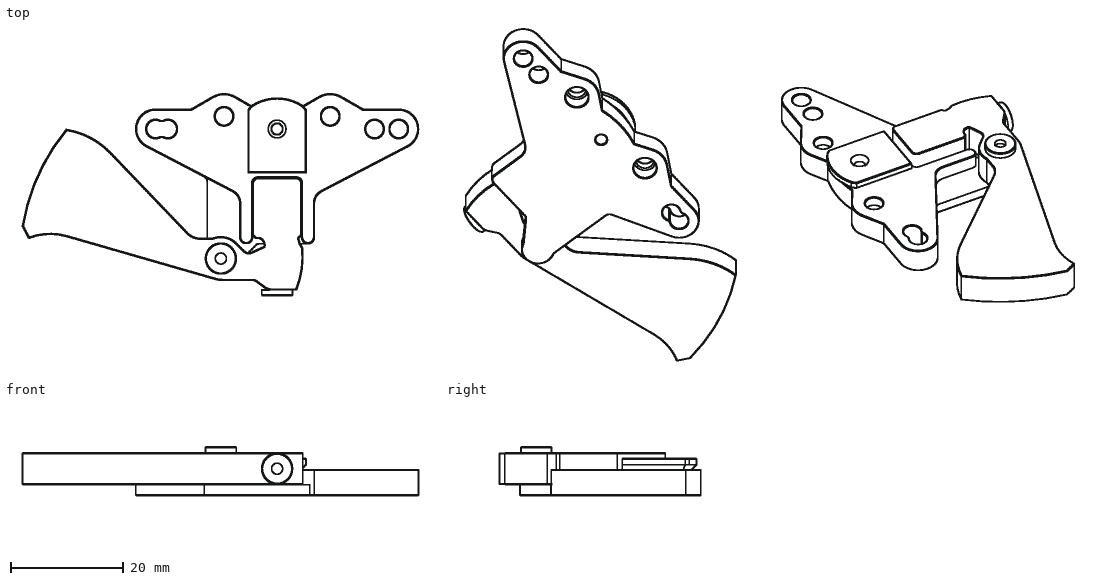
import cadquery as cq
import math

PLATE_TOP = 2.0
WING_TOP = 4.65
PAD_TOP = 6.65
LEVER_TOP = 7.6
HEAD_HEIGHT = 1.05
EDGE_BREAK = 0.15

MOUNT_HOLE_D = 3.2
COUNTERBORE_D = 4.0
COUNTERBORE_DEPTH = 2.8
BRIDGE_WIDTH = 2.7
WING_END_X = 21.7
WING_END_R = 3.5
WING_SLOPE = math.radians(27.5)
OUTER_HOLE_X = WING_END_X
RIGHT_INNER_HOLE_X = 17.4
LEFT_INNER_HOLE_X = -19.5
LUG_X = 9.5
LUG_Y = 2.25
LUG_R = 4.0
LUG_SLOPE = math.radians(30)
REAR_X = 4.45
REAR_MID_Y = 4.6
LEG_X = 6.65
LEG_END_Y = -20.4
LEG_ROOT_FILLET = 2.5
LEG_TIP_R = 1.05
CHANNEL_HALF_WIDTH = 4.4
CHANNEL_REAR_Y = -8.7
CHANNEL_CORNER_R = 1.0

PAD_HALF_WIDTH = 5.15
PAD_FRONT_Y = -7.8
PAD_SIDE_END_Y = 3.45
PAD_CORNER_X = 4.5
PAD_CORNER_Y = 4.2
PAD_REAR_Y = 5.5
PAD_UNDERCUT = 0.85
PAD_HOLE_D = 2.0
PAD_CONE_DEPTH = 1.05

PLATE_LEFT_X = -12.5
PLATE_RIGHT_X = 5.8
PLATE_REAR_Y = -5.65
PLATE_FRONT_Y = -20.5
PLATE_BEVEL_X = -3.5
BEVEL_END_X = -7.8
PLATE_FILLET = 0.9
PLATE_HUB_FILLET = 1.4

PIVOT_X = -10.0
PIVOT_Y = -23.1
PLATE_HUB_R = 5.9 / 2
LEVER_HUB_R = 3.9
HEAD_D = 5.5
SOCKET_D = 2.0
SOCKET_DEPTH = 0.85
LEVER_FRONT_Y = -28.7
ARM_REAR_Y = -19.5
ARM_TIP = (-37.6, -0.1)
ARM_SHOULDER = (-29.7, -4.25)
ARM_REAR_CORNER = (-15.05, ARM_REAR_Y)
VALLEY = (-5.3, -22.3)
RELIEF_Y = -19.5
RELIEF_X = 3.8
LEFT_RELIEF_FOOT = (-2.3, -21.0)
LEFT_RELIEF_MID = (-2.5, -20.1)
LEFT_RELIEF_TOP_X = -3.25
RIGHT_RELIEF_FOOT = (4.1, -20.5)
FRONT_END_TOP = (4.5, -21.1)
FRONT_END_MID = (4.4, -25.45)
BLOCK_END_Y = -18.95
FRONT_STEP = (-4.0, -27.0)
FRONT_STEP_FOOT = (-1.7, LEVER_FRONT_Y)
ARM_FRONT_CORNER = (-10.4, -27.0)
ARM_HOLLOW_START = (-37.65, -19.15)
ARM_HOLLOW_MID = (-41.1, -18.8)
ARM_END_MID = (-42.7, -8.2)
ARM_END_CORNER = (-45.4, -17.3)
ARM_END_FOOT = (-44.3, -19.5)
FRONT_CORNER = (3.45, LEVER_FRONT_Y)
SMALL_CORNER_R = 0.2
ARM_FILLETS = [
    (ARM_REAR_CORNER, 3.2),
    (VALLEY, 1.1),
    ((-CHANNEL_HALF_WIDTH, CHANNEL_REAR_Y), CHANNEL_CORNER_R),
    ((CHANNEL_HALF_WIDTH, CHANNEL_REAR_Y), CHANNEL_CORNER_R),
    (FRONT_STEP, 1.4),
    (FRONT_STEP_FOOT, 1.8),
    (ARM_FRONT_CORNER, 4.6),
    (ARM_END_CORNER, SMALL_CORNER_R),
    (ARM_END_FOOT, SMALL_CORNER_R),
    (FRONT_CORNER, SMALL_CORNER_R),
]


def prism(outline, bottom, top):
    """Extrude a closed outline between two heights."""
    return outline.close().extrude(top - bottom).translate((0, 0, bottom))


def on_circle(x, y, radius, angle):
    return (x + radius * math.cos(angle), y + radius * math.sin(angle))


def half_wings():
    """Right half of the bracket: lug, wing and leg, before the channel is cut."""
    up = math.pi / 2
    wing_low = on_circle(WING_END_X, 0, WING_END_R, WING_SLOPE - up)
    leg_root = (LEG_X, wing_low[1] - (wing_low[0] - LEG_X) * math.tan(WING_SLOPE))
    lug_inner = on_circle(LUG_X, LUG_Y, LUG_R, up + LUG_SLOPE)
    lug_outer = on_circle(LUG_X, LUG_Y, LUG_R, up - LUG_SLOPE)
    lug_foot_x = lug_outer[0] + (lug_outer[1] - WING_END_R) / math.tan(LUG_SLOPE)
    rear_y = lug_inner[1] - (lug_inner[0] - REAR_X) * math.tan(LUG_SLOPE)
    rear_r = (REAR_X**2 + (REAR_MID_Y - rear_y) ** 2) / (2 * (REAR_MID_Y - rear_y))
    rear_quarter = (REAR_X / 2, REAR_MID_Y - rear_r + math.sqrt(rear_r**2 - (REAR_X / 2) ** 2))
    outline = (
        cq.Workplane()
        .moveTo(0, LEG_END_Y)
        .lineTo(LEG_X, LEG_END_Y)
        .lineTo(*leg_root)
        .lineTo(*wing_low)
        .threePointArc((WING_END_X + WING_END_R, 0), (WING_END_X, WING_END_R))
        .lineTo(lug_foot_x, WING_END_R)
        .lineTo(*lug_outer)
        .threePointArc((LUG_X, LUG_Y + LUG_R), lug_inner)
        .lineTo(REAR_X, rear_y)
        .threePointArc(rear_quarter, (0, REAR_MID_Y))
    )
    leg_root_edge = cq.selectors.NearestToPointSelector((*leg_root, WING_TOP / 2))
    return prism(outline, 0, WING_TOP).edges(leg_root_edge).fillet(LEG_ROOT_FILLET)


def channel():
    """Space between the legs, open to the front, that holds the lever's block."""
    length = CHANNEL_REAR_Y - LEG_END_Y
    return (
        cq.Workplane()
        .center(0, LEG_END_Y + length / 2)
        .rect(2 * CHANNEL_HALF_WIDTH, length)
        .extrude(WING_TOP)
        .edges("|Z and >Y")
        .fillet(CHANNEL_CORNER_R)
    )


def wings():
    half = half_wings()
    body = half.union(half.mirror("YZ")).cut(channel())
    body = body.edges("|Z and <Y").fillet(LEG_TIP_R).cut(mount_holes())
    return body.faces(">Z").edges().chamfer(EDGE_BREAK)


def plate():
    """Thin plate under the lever, with a round hub below the pivot."""
    bevel_end = (BEVEL_END_X, PLATE_FRONT_Y - (PLATE_BEVEL_X - BEVEL_END_X))
    outline = (
        cq.Workplane()
        .moveTo(PLATE_LEFT_X, PLATE_REAR_Y)
        .lineTo(PLATE_LEFT_X, PIVOT_Y)
        .lineTo(PIVOT_X, PIVOT_Y)
        .lineTo(*bevel_end)
        .lineTo(PLATE_BEVEL_X, PLATE_FRONT_Y)
        .lineTo(PLATE_RIGHT_X, PLATE_FRONT_Y)
        .lineTo(PLATE_RIGHT_X, PLATE_REAR_Y)
    )
    hub = cq.Workplane().center(PIVOT_X, PIVOT_Y).circle(PLATE_HUB_R).extrude(PLATE_TOP)
    body = prism(outline, 0, PLATE_TOP).union(hub)
    hub_left_y = PIVOT_Y + math.sqrt(PLATE_HUB_R**2 - (PIVOT_X - PLATE_LEFT_X) ** 2)
    corners = [
        ((PLATE_LEFT_X, hub_left_y), PLATE_HUB_FILLET),
        (bevel_end, PLATE_FILLET),
        ((PLATE_BEVEL_X, PLATE_FRONT_Y), PLATE_FILLET),
    ]
    for corner, radius in corners:
        edge = cq.selectors.NearestToPointSelector((*corner, PLATE_TOP / 2))
        body = body.edges(edge).fillet(radius)
    return body


def pad():
    """Raised pad with an arched rear and undercut sides; its front face is plain."""
    outline = (
        cq.Workplane()
        .moveTo(-PAD_HALF_WIDTH, PAD_FRONT_Y)
        .lineTo(-PAD_HALF_WIDTH, PAD_SIDE_END_Y)
        .lineTo(-PAD_CORNER_X, PAD_CORNER_Y)
        .threePointArc((0, PAD_REAR_Y), (PAD_CORNER_X, PAD_CORNER_Y))
        .lineTo(PAD_HALF_WIDTH, PAD_SIDE_END_Y)
        .lineTo(PAD_HALF_WIDTH, PAD_FRONT_Y)
    )
    body = prism(outline, WING_TOP, PAD_TOP)
    body = body.faces("<Z").edges("not <Y").chamfer(PAD_UNDERCUT)
    return body.faces(">Z").edges().chamfer(EDGE_BREAK)


def mount_holes():
    """Wing and lug holes; the left pair joins into a slot, the lug holes widen from below."""
    right_holes = [(RIGHT_INNER_HOLE_X, 0), (OUTER_HOLE_X, 0)]
    left_holes = [(LEFT_INNER_HOLE_X, 0), (-OUTER_HOLE_X, 0)]
    lug_holes = [(-LUG_X, LUG_Y), (LUG_X, LUG_Y)]
    holes = cq.Workplane()
    for spot in right_holes + left_holes + lug_holes:
        holes = holes.union(cq.Workplane().center(*spot).circle(MOUNT_HOLE_D / 2).extrude(WING_TOP))
    for spot in lug_holes:
        holes = holes.union(cq.Workplane().center(*spot).circle(COUNTERBORE_D / 2).extrude(COUNTERBORE_DEPTH))
    bridge = (
        cq.Workplane()
        .center((LEFT_INNER_HOLE_X - OUTER_HOLE_X) / 2, 0)
        .rect(LEFT_INNER_HOLE_X + OUTER_HOLE_X, BRIDGE_WIDTH)
        .extrude(WING_TOP)
    )
    return holes.union(bridge)


def pad_hole():
    """Through hole that widens as a cone to the top of the pad."""
    bore = cq.Workplane().circle(PAD_HOLE_D / 2).extrude(PAD_TOP)
    cone = (
        cq.Workplane()
        .workplane(offset=PAD_TOP - PAD_CONE_DEPTH)
        .circle(PAD_HOLE_D / 2)
        .workplane(offset=PAD_CONE_DEPTH)
        .circle(MOUNT_HOLE_D / 2)
        .loft()
    )
    return bore.union(cone)


def make_bracket():
    """One solid; the inner corner between left wing and plate is rounded."""
    body = wings().union(plate())
    wing_edge_y = -WING_END_R / math.cos(WING_SLOPE)
    notch_y = wing_edge_y - (WING_END_X + PLATE_LEFT_X) * math.tan(WING_SLOPE)
    notch = cq.selectors.NearestToPointSelector((PLATE_LEFT_X, notch_y, PLATE_TOP / 2))
    body = body.edges(notch).fillet(PLATE_FILLET)
    body = body.union(pad()).cut(pad_hole())
    return body.faces("<Z").edges().chamfer(EDGE_BREAK)


def shoulder_radius():
    """Radius of the arc from the arm's tip that runs smoothly into its straight rear side."""
    chord = math.dist(ARM_TIP, ARM_SHOULDER)
    chord_slope = math.atan2(ARM_SHOULDER[1] - ARM_TIP[1], ARM_SHOULDER[0] - ARM_TIP[0])
    side_slope = math.atan2(ARM_REAR_CORNER[1] - ARM_SHOULDER[1], ARM_REAR_CORNER[0] - ARM_SHOULDER[0])
    return chord / (2 * math.sin(chord_slope - side_slope))


def lever_outline():
    """Outline of the lever; the corners in ARM_FILLETS are still sharp here."""
    hub_right = on_circle(PIVOT_X, PIVOT_Y, LEVER_HUB_R, math.radians(45))
    hub_left_x = PIVOT_X - math.sqrt(LEVER_HUB_R**2 - (ARM_REAR_Y - PIVOT_Y) ** 2)
    block = CHANNEL_HALF_WIDTH
    return (
        cq.Workplane()
        .moveTo(*ARM_TIP)
        .radiusArc(ARM_SHOULDER, shoulder_radius())
        .lineTo(*ARM_REAR_CORNER)
        .lineTo(hub_left_x, ARM_REAR_Y)
        .threePointArc((PIVOT_X, PIVOT_Y + LEVER_HUB_R), hub_right)
        .lineTo(*VALLEY)
        .lineTo(*LEFT_RELIEF_FOOT)
        .threePointArc(LEFT_RELIEF_MID, (LEFT_RELIEF_TOP_X, RELIEF_Y))
        .lineTo(-RELIEF_X, RELIEF_Y)
        .lineTo(-block, BLOCK_END_Y)
        .lineTo(-block, CHANNEL_REAR_Y)
        .lineTo(block, CHANNEL_REAR_Y)
        .lineTo(block, BLOCK_END_Y)
        .lineTo(RELIEF_X, RELIEF_Y)
        .lineTo(*RIGHT_RELIEF_FOOT)
        .lineTo(*FRONT_END_TOP)
        .threePointArc(FRONT_END_MID, FRONT_CORNER)
        .lineTo(*FRONT_STEP_FOOT)
        .lineTo(*FRONT_STEP)
        .lineTo(*ARM_FRONT_CORNER)
        .lineTo(*ARM_HOLLOW_START)
        .threePointArc(ARM_HOLLOW_MID, ARM_END_FOOT)
        .lineTo(*ARM_END_CORNER)
        .threePointArc(ARM_END_MID, ARM_TIP)
    )


def arm():
    """Lever plate with its rounded corners and broken edges."""
    body = prism(lever_outline(), PLATE_TOP, LEVER_TOP)
    mid_height = (PLATE_TOP + LEVER_TOP) / 2
    for corner, radius in ARM_FILLETS:
        edge = cq.selectors.NearestToPointSelector((*corner, mid_height))
        body = body.edges(edge).fillet(radius)
    return body.faces("<Z or >Z").edges().chamfer(EDGE_BREAK)


def screw_head():
    """Flat screw head standing on Z = 0, with a round socket in its top."""
    return (
        cq.Workplane()
        .circle(HEAD_D / 2)
        .extrude(HEAD_HEIGHT)
        .faces(">Z")
        .edges()
        .chamfer(EDGE_BREAK)
        .faces(">Z")
        .workplane()
        .hole(SOCKET_D, SOCKET_DEPTH)
    )


def make_lever():
    pivot_head = screw_head().translate((PIVOT_X, PIVOT_Y, LEVER_TOP))
    front_head = (
        screw_head()
        .rotate((0, 0, 0), (1, 0, 0), 90)
        .translate((0, LEVER_FRONT_Y, (PLATE_TOP + LEVER_TOP) / 2))
    )
    return arm().union(pivot_head).union(front_head)


bracket = make_bracket()
lever = make_lever()
result = cq.Compound.makeCompound([bracket.solids().val(), lever.solids().val()])